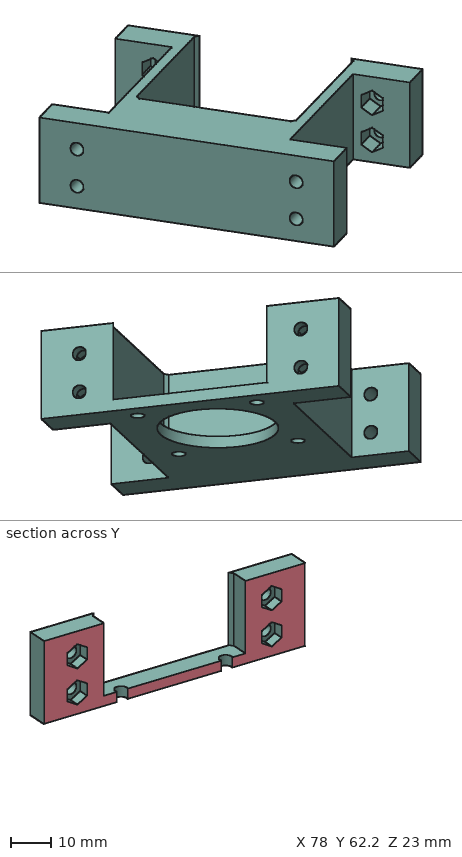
import cadquery as cq

length = 78.0
width = 62.2
height = 23.0

block_length = 48.0
flange_thickness = 9.05

pocket_size = 42.2
pocket_chamfer = 1.0
floor_thickness = 3.0
pocket_center_y = width / 2 - pocket_size / 2
bore_diameter = 30.0
motor_hole_spacing = 31.2

hole_diameter = 3.4
bolt_spacing_x = 58.0
bolt_spacing_z = 10.0
bolt_center_z = 11.0
nut_across_corners = 6.6
nut_recess_depth = 6.0


def make_body():
    block = cq.Workplane("XY").box(block_length, width, height, centered=(True, True, False))
    flange_offset = (width - flange_thickness) / 2
    flanges = (
        cq.Workplane("XY")
        .pushPoints([(0, -flange_offset), (0, flange_offset)])
        .box(length, flange_thickness, height, centered=(True, True, False))
    )
    return block.union(flanges)


def make_motor_cutout():
    pocket = (
        cq.Workplane("XY", origin=(0, pocket_center_y, floor_thickness))
        .rect(pocket_size, pocket_size)
        .extrude(height - floor_thickness)
        .edges("|Z")
        .chamfer(pocket_chamfer)
    )
    floor_plane = cq.Workplane("XY", origin=(0, pocket_center_y, 0))
    bore = floor_plane.circle(bore_diameter / 2).extrude(height)
    screw_holes = (
        floor_plane.rect(motor_hole_spacing, motor_hole_spacing, forConstruction=True)
        .vertices()
        .circle(hole_diameter / 2)
        .extrude(height)
    )
    return pocket.union(bore).union(screw_holes)


def bolt_pattern(y):
    """Corner points of the bolt pattern on a plane at y, facing the rear (+Y)."""
    return (
        cq.Workplane("XZ", origin=(0, y, bolt_center_z))
        .rect(bolt_spacing_x, bolt_spacing_z, forConstruction=True)
        .vertices()
    )


def cut_bolt_holes(body):
    holes = bolt_pattern(-width / 2).circle(hole_diameter / 2).extrude(-width)
    inner_face_y = width / 2 - flange_thickness
    corner_up = cq.Sketch().regularPolygon(nut_across_corners / 2, 6)
    recesses = bolt_pattern(inner_face_y).placeSketch(corner_up).extrude(-nut_recess_depth)
    return body.cut(holes).cut(recesses)


result = cut_bolt_holes(make_body().cut(make_motor_cutout()))